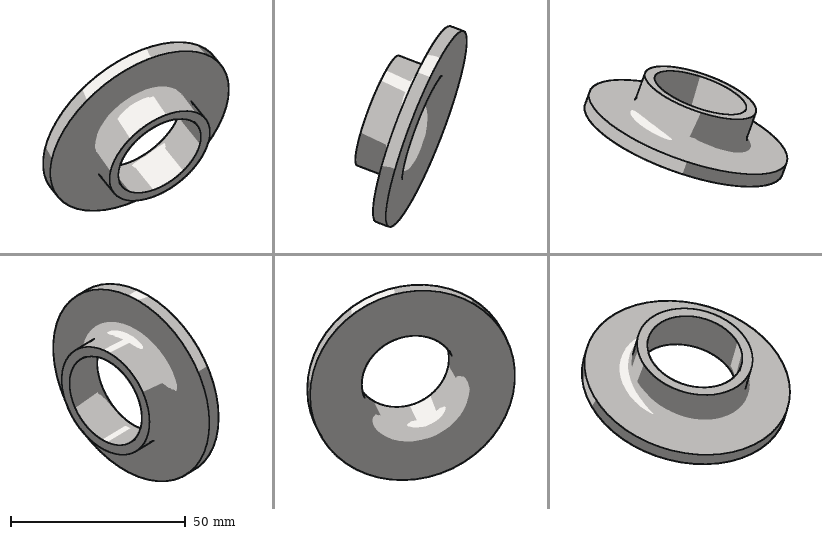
import cadquery as cq

total_length = 15.0
flange_diameter = 60.0
flange_thickness = 4.0
collar_diameter = 33.7
wall_thickness = 3.0
bore_diameter = collar_diameter - 2 * wall_thickness
root_fillet = 3.0
mouth_rounding = 5.0

smallest_circle = cq.selectors.RadiusNthSelector(0)


def make_disc(diameter, length):
    """Solid cylinder along +X that starts at the flange's front face."""
    return cq.Workplane("YZ").circle(diameter / 2).extrude(length)


flange = make_disc(flange_diameter, flange_thickness)
collar = make_disc(collar_diameter, total_length)
body = flange.union(collar)

body = body.faces(">X[-2]").edges(smallest_circle).fillet(root_fillet)

body = body.cut(make_disc(bore_diameter, total_length))
result = body.faces("<X").edges(smallest_circle).fillet(mouth_rounding)